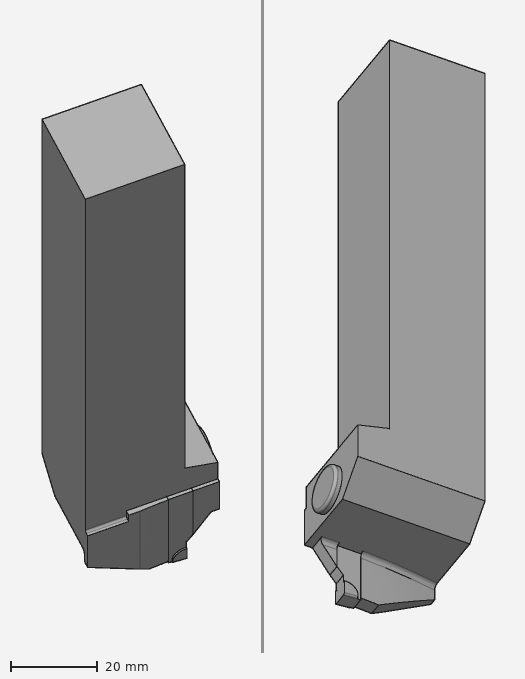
import cadquery as cq


SHANK = 25.0
TOTAL_HEIGHT = 151.4

HEAD_DEPTH = 33.3
HEAD_BOTTOM = 14.4
HEAD_CHAMFER = 7.4
SHOULDER_LOW = 31.3
SHOULDER_HIGH = 33.6

LEDGE_X = 26.3
LEDGE_TOP = SHANK
LEDGE_STEP_LENGTH = 10.3
LEDGE_STEP_TOP = 22.5
LEDGE_FILLET = 0.6

SCREW_DIAMETER = 11.8
SCREW_HEIGHT = 1.8
SCREW_ROUNDING = 0.8
SCREW_X = 13.5
SCREW_Z = 21.6

CENTRE_HEIGHT = SHANK
BLADE_LEFT = 22.4
BLADE_RIGHT = 25.9
BLADE_OUTER_RADIUS = 157.4
BLADE_INNER_RADIUS = BLADE_OUTER_RADIUS - (BLADE_RIGHT - BLADE_LEFT)
CURVE_AXIS_X = BLADE_LEFT + BLADE_OUTER_RADIUS
BLADE_BOTTOM = 1.0
BLADE_FRONT_CORNER = 10.3
BLADE_TOE = 15.6
BLADE_BACK_TOP = 31.2
BLADE_ROOT_FILLET = 1.2

INSERT_FRONT = 20.5
INSERT_BACK = 26.6
INSERT_TOP = LEDGE_TOP
STEP_TOP = 8.0
STEP_BOTTOM = 6.0
CLEARANCE_RISE = 0.5
TIP_OVERHANG = LEDGE_X - BLADE_RIGHT
TIP_FRONT = 21.3
TIP_HEIGHT = 4.1
TIP_BACK_ROUNDING = 3.2
NOSE_RADIUS = 0.5

PICK_MARGIN = 0.2


def side_extrusion(points, x_start, x_end):
    """Extrude a closed outline of (y, z) points along X."""
    return cq.Workplane("YZ").workplane(offset=x_start).polyline(points).close().extrude(x_end - x_start)


def curve_cylinder(radius):
    """Upright cylinder about the blade's axis of curvature."""
    return cq.Workplane("XY").center(CURVE_AXIS_X, CENTRE_HEIGHT).circle(radius).extrude(TOTAL_HEIGHT)


def make_head_and_shank():
    profile = [
        (0, HEAD_BOTTOM),
        (HEAD_DEPTH, HEAD_BOTTOM),
        (HEAD_DEPTH, SHOULDER_LOW),
        (SHANK, SHOULDER_HIGH),
        (SHANK, TOTAL_HEIGHT),
        (0, TOTAL_HEIGHT),
    ]
    body = side_extrusion(profile, 0, SHANK)
    return body.edges("<X and <Z").chamfer(HEAD_CHAMFER)


def make_ledge():
    profile = [
        (0, HEAD_BOTTOM),
        (HEAD_DEPTH, HEAD_BOTTOM),
        (HEAD_DEPTH, LEDGE_TOP),
        (LEDGE_STEP_LENGTH, LEDGE_TOP),
        (LEDGE_STEP_LENGTH, LEDGE_STEP_TOP),
        (0, LEDGE_STEP_TOP),
    ]
    return side_extrusion(profile, BLADE_LEFT, LEDGE_X)


def make_blade():
    profile = [
        (0, HEAD_BOTTOM),
        (0, BLADE_FRONT_CORNER),
        (BLADE_TOE, BLADE_BOTTOM),
        (INSERT_FRONT, BLADE_BOTTOM),
        (INSERT_BACK, STEP_TOP),
        (BLADE_BACK_TOP, HEAD_BOTTOM),
    ]
    return side_extrusion(profile, 0, LEDGE_X).intersect(curve_cylinder(BLADE_OUTER_RADIUS))


def fillet_blade_root(holder):
    """Round the curved corner between the blade's -X side and the underside of the head."""
    root = cq.selectors.BoxSelector(
        (BLADE_LEFT - PICK_MARGIN, 0, HEAD_BOTTOM - PICK_MARGIN),
        (SHANK, HEAD_DEPTH, HEAD_BOTTOM + PICK_MARGIN),
    )
    return holder.edges(root).edges("%CIRCLE").fillet(BLADE_ROOT_FILLET)


def fillet_ledge_step(holder):
    """Round the inner corner where the ledge's low step meets the shank."""
    corner = cq.selectors.BoxSelector(
        (SHANK - PICK_MARGIN, 0, LEDGE_STEP_TOP - PICK_MARGIN),
        (SHANK + PICK_MARGIN, LEDGE_STEP_LENGTH, LEDGE_STEP_TOP + PICK_MARGIN),
    )
    return holder.edges(corner).edges("|Y").fillet(LEDGE_FILLET)


def make_side_relief():
    """Concave +X side of the blade, continued as a flat behind the cutting edge."""
    flat = cq.Workplane("XY").box(
        SHANK, HEAD_DEPTH, LEDGE_TOP, centered=False
    ).translate((BLADE_RIGHT, CENTRE_HEIGHT, 0))
    return curve_cylinder(BLADE_INNER_RADIUS).union(flat)


def make_screw_head():
    screw = (
        cq.Workplane("XZ", origin=(SCREW_X, HEAD_DEPTH, SCREW_Z))
        .circle(SCREW_DIAMETER / 2)
        .extrude(-SCREW_HEIGHT)
    )
    return screw.faces(">Y").edges().fillet(SCREW_ROUNDING)


def make_insert_seat():
    depth = INSERT_BACK - INSERT_FRONT
    seat = cq.Workplane("XY").box(
        LEDGE_X - BLADE_LEFT, depth, INSERT_TOP, centered=False
    ).translate((BLADE_LEFT, INSERT_FRONT, 0))
    clearance = cq.Workplane("XY").box(LEDGE_X, depth, HEAD_BOTTOM, centered=False).translate(
        (0, INSERT_FRONT, 0)
    )
    return seat.union(clearance)


def make_holder():
    holder = make_head_and_shank().union(make_ledge()).union(make_blade())
    holder = fillet_blade_root(holder)
    holder = fillet_ledge_step(holder)
    holder = holder.cut(make_side_relief()).cut(make_insert_seat())
    return holder.union(make_screw_head())


def make_insert():
    outline = [
        (INSERT_FRONT, INSERT_TOP),
        (INSERT_FRONT, CLEARANCE_RISE),
        (CENTRE_HEIGHT, 0),
        (CENTRE_HEIGHT, STEP_BOTTOM),
        (INSERT_BACK, STEP_TOP),
        (INSERT_BACK, INSERT_TOP),
    ]
    shaft = side_extrusion(outline, BLADE_LEFT, BLADE_RIGHT)

    clearance_slope = CLEARANCE_RISE / (CENTRE_HEIGHT - INSERT_FRONT)
    tip_outline = [
        (CENTRE_HEIGHT, 0),
        (CENTRE_HEIGHT, TIP_HEIGHT),
        (TIP_FRONT, TIP_HEIGHT),
        (TIP_FRONT, clearance_slope * (CENTRE_HEIGHT - TIP_FRONT)),
    ]
    tip = side_extrusion(tip_outline, BLADE_LEFT - TIP_OVERHANG, BLADE_RIGHT + TIP_OVERHANG)
    tip = tip.edges("|X and <Y and >Z").fillet(TIP_BACK_ROUNDING)
    tip = tip.faces("<Z").edges("<X or >X").fillet(NOSE_RADIUS)
    return shaft.union(tip)


holder = make_holder().solids()
insert = make_insert().solids()

result = cq.Compound.makeCompound([holder.val(), insert.val()])